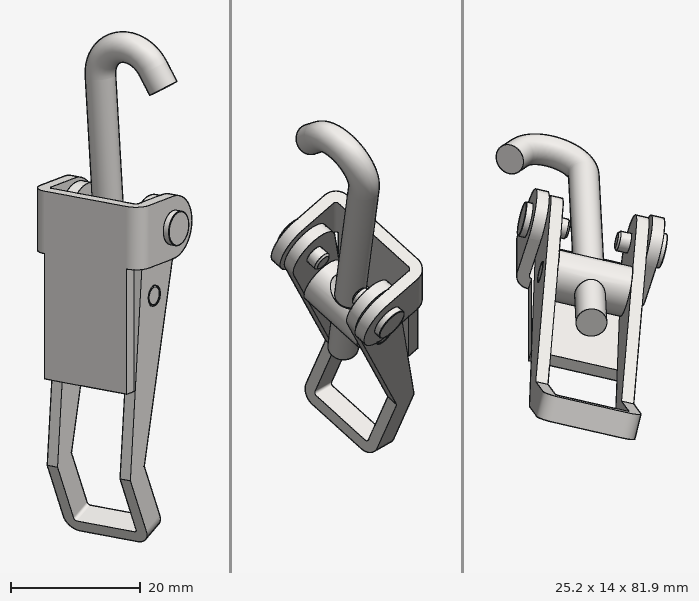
import cadquery as cq
import math


sheet = 2.0
bend_radius = 2.45
inner_bend_radius = bend_radius - sheet

bracket_width = 20.4
ear_radius = 5.0
plate_face_y = -9.0
plate_bottom_z = -25.0
plate_width = bracket_width - 2 * bend_radius

lever_width = 15.65
lever_gap = lever_width - 2 * sheet
lever_head_radius = 4.5
front_taper = math.radians(5.3)
back_taper = math.radians(13.5)
tail_angle_degrees = 25.4
tail_angle = math.radians(tail_angle_degrees)
front_edge_length = 39.6
back_edge_length = 37.5
tail_length = 12.5

rivet_head_radius = 2.7
rivet_shank_radius = 1.55
rivet_head_height = 1.1
rivet_end_x = 3.85
rivet_head_chamfer = 0.1
rivet_end_chamfer = 0.3

trunnion_y = -1.7
trunnion_z = -10.9
trunnion_radius = 3.9
journal_radius = 1.6
journal_chamfer = 0.25
countersink_radius = 3.5

hook_radius = 2.4
hook_lean_degrees = 5.4
shank_below = 12.8
shank_above = 34.9
hook_bend_radius = 5.4
hook_bend_degrees = 150.0
hook_tip_length = 3.45


def x_cylinder(radius, x_start, x_end, y=0.0, z=0.0):
    """Cylinder along X between two X positions."""
    axis_start = cq.Vector(x_start, y, z)
    cylinder = cq.Solid.makeCylinder(radius, x_end - x_start, axis_start, cq.Vector(1, 0, 0))
    return cq.Workplane(cylinder)


def make_bracket():
    """Base plate bent into two rounded ears at its top."""
    ear_profile = (
        cq.Workplane("YZ")
        .moveTo(plate_face_y, -ear_radius)
        .lineTo(0, -ear_radius)
        .threePointArc((ear_radius, 0), (0, ear_radius))
        .lineTo(plate_face_y, ear_radius)
        .close()
    )
    channel = ear_profile.extrude(bracket_width / 2, both=True)
    channel = channel.edges("|Z and <Y").fillet(bend_radius)
    channel_depth = ear_radius - plate_face_y
    inside = (
        cq.Workplane("XY")
        .box(bracket_width - 2 * sheet, channel_depth, 2 * ear_radius, centered=(True, False, True))
        .edges("|Z and <Y")
        .fillet(inner_bend_radius)
        .translate((0, plate_face_y + sheet, 0))
    )
    plate_height = ear_radius - plate_bottom_z
    plate = (
        cq.Workplane("XY")
        .box(plate_width, sheet, plate_height, centered=(True, False, False))
        .translate((0, plate_face_y, plate_bottom_z))
    )
    rivet_holes = x_cylinder(rivet_shank_radius, -bracket_width, bracket_width)
    return channel.cut(inside).union(plate).cut(rivet_holes)


def make_lever():
    """U-shaped handle: two tapered arms with a bent tail, joined by a bridge at the end."""
    front_start = cq.Vector(-math.cos(front_taper), math.sin(front_taper)) * lever_head_radius
    back_start = cq.Vector(math.cos(back_taper), -math.sin(back_taper)) * lever_head_radius
    front_knee = front_start + cq.Vector(-math.sin(front_taper), -math.cos(front_taper)) * front_edge_length
    back_knee = back_start + cq.Vector(-math.sin(back_taper), -math.cos(back_taper)) * back_edge_length

    along_tail = cq.Vector(math.sin(tail_angle), -math.cos(tail_angle))
    across_tail = cq.Vector(math.cos(tail_angle), math.sin(tail_angle))
    tail_depth = (back_knee - front_knee).dot(across_tail)
    front_end = front_knee + along_tail * tail_length
    back_end = front_end + across_tail * tail_depth

    body = (
        cq.Workplane("YZ")
        .moveTo(front_start.x, front_start.y)
        .threePointArc((0, lever_head_radius), (back_start.x, back_start.y))
        .lineTo(back_knee.x, back_knee.y)
        .lineTo(back_end.x, back_end.y)
        .lineTo(front_end.x, front_end.y)
        .lineTo(front_knee.x, front_knee.y)
        .close()
        .extrude(lever_width / 2, both=True)
    )
    end_corners = cq.selectors.BoxSelector(
        (-lever_width, front_end.x, front_end.y), (lever_width, back_end.x, back_end.y)
    )
    body = body.edges(end_corners).edges("not |X").fillet(bend_radius)

    gap_length = front_edge_length + 2 * tail_length
    gap = (
        cq.Workplane("XY")
        .box(lever_gap, gap_length, gap_length, centered=(True, True, False))
        .edges("|Y and <Z")
        .fillet(inner_bend_radius)
        .translate((0, 0, sheet))
        .rotate((0, 0, 0), (1, 0, 0), tail_angle_degrees)
        .translate((0, front_end.x, front_end.y))
    )
    rivet_holes = x_cylinder(rivet_shank_radius, -lever_width, lever_width)
    journal_holes = x_cylinder(journal_radius, -lever_width, lever_width, trunnion_y, trunnion_z)
    return body.cut(gap).cut(rivet_holes).cut(journal_holes)


def make_rivet(side):
    """Headed rivet through one ear and one lever arm; side is -1 or +1."""
    ear_face_x = bracket_width / 2
    head_x = ear_face_x + rivet_head_height
    head = x_cylinder(rivet_head_radius, ear_face_x, head_x).faces(">X").chamfer(rivet_head_chamfer)
    shank = x_cylinder(rivet_shank_radius, rivet_end_x, ear_face_x).faces("<X").chamfer(rivet_end_chamfer)
    rivet = head.union(shank)
    return rivet if side > 0 else rivet.mirror("YZ")


def make_journal():
    """Journals of the trunnion, chamfered and flush with the outside of the lever."""
    journal = x_cylinder(journal_radius, -lever_width / 2, lever_width / 2, trunnion_y, trunnion_z)
    return journal.faces("<X or >X").chamfer(journal_chamfer)


def lean_into_place(shape):
    """Tilt a shape built about the trunnion axis by the lean of the hook, and move it there."""
    return shape.rotate((0, 0, 0), (1, 0, 0), hook_lean_degrees).translate((0, trunnion_y, trunnion_z))


def make_trunnion():
    """Cross pin with a thick middle, bored and countersunk for the hook shank."""
    middle = x_cylinder(trunnion_radius, -lever_gap / 2, lever_gap / 2, trunnion_y, trunnion_z)
    bore = cq.Workplane("XY").circle(hook_radius).extrude(2 * trunnion_radius, both=True)
    cone = cq.Solid.makeCone(0, countersink_radius, countersink_radius)
    countersink = cq.Workplane(cone).translate((0, 0, trunnion_radius - countersink_radius))
    return middle.union(make_journal()).cut(lean_into_place(bore)).cut(lean_into_place(countersink))


def make_hook():
    """Round bar with a straight shank, a bend towards +X and a short straight tip."""
    bend_end_angle = math.radians(180 - hook_bend_degrees)
    bend_end_x = hook_bend_radius * (1 + math.cos(bend_end_angle))
    bend_end_z = shank_above + hook_bend_radius * math.sin(bend_end_angle)
    path = (
        cq.Workplane("XZ")
        .moveTo(0, -shank_below)
        .lineTo(0, shank_above)
        .threePointArc((hook_bend_radius, shank_above + hook_bend_radius), (bend_end_x, bend_end_z))
        .line(hook_tip_length * math.sin(bend_end_angle), -hook_tip_length * math.cos(bend_end_angle))
    )
    bar = cq.Workplane("XY").workplane(offset=-shank_below).circle(hook_radius).sweep(path)
    return lean_into_place(bar)


bracket = make_bracket()
lever = make_lever()
trunnion = make_trunnion()
hook = make_hook()
rivets = [make_rivet(side).val() for side in (-1, 1)]

result = cq.Compound.makeCompound([bracket.val(), lever.val(), trunnion.val(), hook.val(), *rivets])